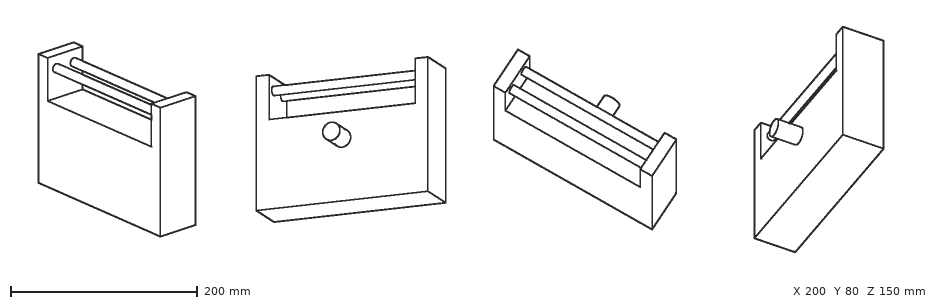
import cadquery as cq

length = 200.0
depth = 50.0
height = 150.0

post_width = 15.0
floor_height = 100.0
gap_length = length - 2 * post_width

rod_diameter = 10.0
rod_height = 135.0
rod_positions = (depth / 4, 3 * depth / 4)

peg_diameter = 20.0
peg_length = 30.0
peg_height = 70.0


def make_body():
    """Block with the top middle cut away, leaving a post at each end."""
    block = cq.Workplane("XY").box(length, depth, height, centered=(True, False, False))
    gap = (
        cq.Workplane("XY")
        .workplane(offset=floor_height)
        .box(gap_length, depth, height - floor_height, centered=(True, False, False))
    )
    return block.cut(gap)


def make_rod(y):
    """Rod along X, from the inner face of one post to the other."""
    return (
        cq.Workplane("YZ", origin=(-gap_length / 2, y, rod_height))
        .circle(rod_diameter / 2)
        .extrude(gap_length)
    )


def make_peg():
    """Peg pointing along +Y from the back face."""
    return (
        cq.Workplane("XZ", origin=(0, depth, peg_height))
        .circle(peg_diameter / 2)
        .extrude(-peg_length)
    )


result = make_body().union(make_peg())
for rod_y in rod_positions:
    result = result.union(make_rod(rod_y))